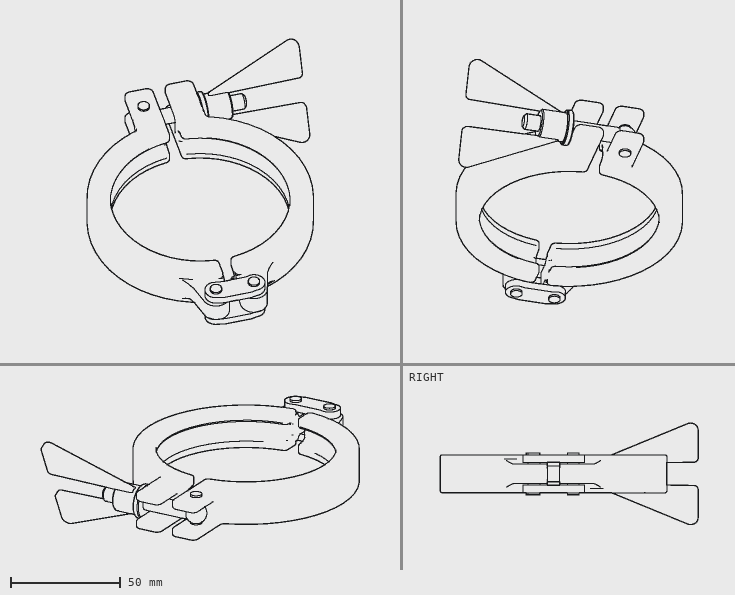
import cadquery as cq
import math

ring_outer_r = 51.7
ring_inner_r = 41.0
height = 17.4
gap = 5.6
edge_round = 1.0
ear_tip_x = -73.7
ear_top_y = 16.2
ear_corner_r = 3.1
inner_corner_r = 2.2

groove_floor_r = 46.8
groove_mouth = 8.7
groove_floor = 6.6
groove_round = 1.0
groove_end_round = 2.1

slot_width = 9.4
slot_end_x = -54.6
slot_corner_r = 2.1
slot_mouth_round = 1.4

hinge_x = 60.0
hinge_lug_r = 6.2
hinge_y = gap / 2 + hinge_lug_r
lug_thickness = 8.8
lug_side_angle = math.radians(15)
lug_side_root_r = 9.8
lug_root_r = (ring_outer_r + groove_floor_r) / 2
lug_flare = 2.2
link_thickness = 3.5
link_end_r = 5.0
link_bow = 0.63
link_bow_start = 2.7
pin_r = 2.7
pin_length = 19.2

bolt_x = -61.9
bolt_r = 3.6
bolt_end_y = 38.2
bolt_chamfer = 1.1
ball_y = -9.8
ball_r = 4.9
ball_height = 9.0
washer_r = 8.1
washer_thickness = 2.8
washer_chamfer = 0.4
hub_r = 6.7
hub_end_y = 30.8
hub_chamfer = 0.5
wing_tilt = 25.0
wing_thickness = 3.8
wing_root = 4.9
wing_root_y = 17.5
wing_end_y = 66.0
wing_inner_base = 5.9
wing_inner_tip = 6.5
wing_outer_tip = 26.9
wing_outer_r = 3.5
wing_inner_r = 2.1
wing_round = 0.7


def rod(radius, start_y, end_y):
    """Cylinder on the bolt axis."""
    return (
        cq.Workplane("XZ", origin=(bolt_x, start_y, 0))
        .circle(radius)
        .extrude(start_y - end_y)
    )


def slab(sketch, thickness):
    """Extrude a plan outline equally above and below Z = 0."""
    return sketch.extrude(thickness / 2, both=True)


def pin(x, y):
    """Pin parallel to Z, standing proud at both ends."""
    return slab(cq.Workplane("XY").center(x, y).circle(pin_r), pin_length)


def ring_half():
    """The +Y half of the ring with its ear, groove and slot."""
    ring = slab(cq.Workplane("XY").circle(ring_outer_r), height)
    ear = slab(cq.Workplane("XY").rect(ear_tip_x, ear_top_y, centered=False), height)
    below_split = cq.Workplane("XY").box(
        2 * -ear_tip_x, 2 * ring_outer_r, height
    ).translate((0, gap / 2 - ring_outer_r, 0))
    bore = slab(cq.Workplane("XY").circle(ring_inner_r), height)
    half = ring.union(ear).cut(bore).cut(below_split)

    half = half.edges("|Z").edges("not <X").fillet(inner_corner_r)
    half = half.edges("|Z").edges("<X").fillet(ear_corner_r)
    half = half.faces("<Z or >Z").edges().fillet(edge_round)

    half = half.cut(ear_slot())
    slot_rims = half.edges(around_split(slot_width, ear_tip_x, slot_end_x)).edges("not |Y")
    half = slot_rims.fillet(slot_mouth_round)
    half = half.cut(flange_groove())
    groove_ends = half.edges(around_split(groove_floor, -groove_floor_r, groove_floor_r)).edges("|Z")
    half = groove_ends.fillet(groove_end_round)
    groove_edges = half.edges(around_split(groove_mouth, -groove_floor_r, groove_floor_r))
    half = groove_edges.fillet(groove_round)
    return half


def around_split(width, start_x, end_x):
    """Select what lies wholly inside a band of this width about Z = 0."""
    margin = 0.1
    return cq.selectors.BoxSelector(
        (start_x - margin, 0, -width / 2 - margin),
        (end_x + margin, ring_outer_r, width / 2 + margin),
        boundingbox=True,
    )


def ear_slot():
    """Slot through the ear in Y, open at the ear tip and closed toward the ring."""
    slot_length = slot_end_x - ear_tip_x
    ear_depth = ear_top_y - gap / 2
    slot = cq.Workplane("XY").box(2 * slot_length, ear_depth, slot_width)
    slot = slot.edges("|Y").fillet(slot_corner_r)
    return slot.translate((ear_tip_x, (ear_top_y + gap / 2) / 2, 0))


def flange_groove():
    """Revolved cutter whose rim narrows from the bore to the groove floor."""
    outline = [
        (0, groove_mouth / 2),
        (ring_inner_r, groove_mouth / 2),
        (groove_floor_r, groove_floor / 2),
        (groove_floor_r, -groove_floor / 2),
        (ring_inner_r, -groove_mouth / 2),
        (0, -groove_mouth / 2),
    ]
    return cq.Workplane("XZ").polyline(outline).close().revolve(360, (0, 0), (0, 1))


def lug_plan():
    """Plan outline of a hinge lug, from the ring axis out to the round pin end."""
    normal = (math.sin(lug_side_angle), math.cos(lug_side_angle))
    along = (math.cos(lug_side_angle), -math.sin(lug_side_angle))
    side_distance = hinge_x * normal[0] + hinge_y * normal[1] + hinge_lug_r

    reach = ring_outer_r + lug_side_root_r
    lift = side_distance + lug_side_root_r
    run = math.sqrt(reach**2 - lift**2)
    root = [along[i] * run + normal[i] * lift for i in range(2)]

    def root_arc_point(direction):
        scale = lug_side_root_r / math.hypot(*direction)
        return (root[0] - scale * direction[0], root[1] - scale * direction[1])

    toward_ring = (root[0] / reach, root[1] / reach)
    halfway = (normal[0] + toward_ring[0], normal[1] + toward_ring[1])
    side_end = (hinge_x + hinge_lug_r * normal[0], hinge_y + hinge_lug_r * normal[1])
    return (
        cq.Workplane("XY")
        .moveTo(0, gap / 2)
        .lineTo(hinge_x, gap / 2)
        .threePointArc((hinge_x + hinge_lug_r, hinge_y), side_end)
        .lineTo(*root_arc_point(normal))
        .threePointArc(root_arc_point(halfway), root_arc_point(toward_ring))
        .close()
    )


def hinge_lug():
    """Lug plate that flares up and down where it meets the ring."""
    flare_height = lug_thickness / 2 + lug_flare
    flare_end_r = ring_outer_r + lug_flare
    arc_middle = lug_flare * math.cos(math.radians(45))
    flare_mid_r = flare_end_r - arc_middle
    flare_mid_z = flare_height - arc_middle
    flare = (
        cq.Workplane("XZ")
        .moveTo(lug_root_r, -flare_height)
        .lineTo(lug_root_r, flare_height)
        .lineTo(ring_outer_r, flare_height)
        .threePointArc((flare_mid_r, flare_mid_z), (flare_end_r, lug_thickness / 2))
        .lineTo(flare_end_r, -lug_thickness / 2)
        .threePointArc((flare_mid_r, -flare_mid_z), (ring_outer_r, -flare_height))
        .close()
        .revolve(360, (0, 0), (0, 1))
    )
    root_bore = slab(cq.Workplane("XY").circle(lug_root_r), height)
    plate = slab(lug_plan(), lug_thickness).cut(root_bore)
    return plate.union(slab(lug_plan(), height).intersect(flare))


def hinge_link():
    """Link with round ends and straight sides bowed slightly outward in X."""
    left_end = hinge_x - link_end_r
    right_end = hinge_x + link_end_r
    bow_y = hinge_y - link_bow_start
    return (
        cq.Workplane("XY", origin=(0, 0, height / 2 - link_thickness))
        .moveTo(right_end, -hinge_y)
        .lineTo(right_end + link_bow, -bow_y)
        .lineTo(right_end + link_bow, bow_y)
        .lineTo(right_end, hinge_y)
        .threePointArc((hinge_x, hinge_y + link_end_r), (left_end, hinge_y))
        .lineTo(left_end + link_bow, bow_y)
        .lineTo(left_end + link_bow, -bow_y)
        .lineTo(left_end, -hinge_y)
        .threePointArc((hinge_x, -hinge_y - link_end_r), (right_end, -hinge_y))
        .close()
        .extrude(link_thickness)
    )


def eye_bolt():
    """Shank with a ball end, flattened above and below."""
    ball = cq.Workplane("XY").sphere(ball_r)
    ball = ball.intersect(cq.Workplane("XY").box(2 * ball_r, 2 * ball_r, ball_height))
    shank = rod(bolt_r, ball_y, bolt_end_y).faces(">Y").chamfer(bolt_chamfer)
    return shank.union(ball.translate((bolt_x, ball_y, 0)))


def wing():
    """One wing, standing up in +Z from the bolt axis before it is tilted."""
    outline = [
        (wing_root_y, wing_root),
        (wing_end_y, wing_outer_tip),
        (wing_end_y, wing_inner_tip),
        (hub_end_y, wing_inner_base),
        (hub_end_y, wing_root),
    ]
    blade = cq.Workplane("YZ").polyline(outline).close().extrude(wing_thickness / 2, both=True)
    blade = blade.edges("|X").edges(">Y and >Z").fillet(wing_outer_r)
    blade = blade.edges("|X").edges(">Y").edges("<Z").fillet(wing_inner_r)
    return blade.faces("<X or >X").edges().fillet(wing_round)


def wing_nut():
    """Washer, hub and two wings placed half a turn apart."""
    washer_end_y = ear_top_y + washer_thickness
    washer = rod(washer_r, ear_top_y, washer_end_y).faces("<Y or >Y").chamfer(washer_chamfer)
    hub = rod(hub_r, washer_end_y, hub_end_y).faces(">Y").chamfer(hub_chamfer)
    nut = washer.union(hub)
    for turn in (0, 180):
        tilted = wing().rotate((0, 0, 0), (0, 1, 0), turn - wing_tilt)
        nut = nut.union(tilted.translate((bolt_x, 0, 0)))
    return nut


half = ring_half().union(hinge_lug())
result = half.union(half.mirror("XZ"))

link = hinge_link()
result = result.union(link).union(link.mirror("XY"))
for y in (hinge_y, -hinge_y):
    result = result.union(pin(hinge_x, y))

result = result.union(pin(bolt_x, ball_y)).union(eye_bolt()).union(wing_nut())